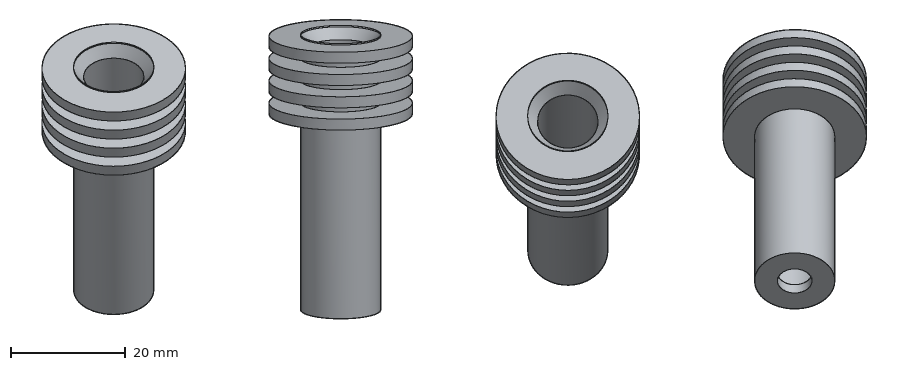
import cadquery as cq
import math

length = 49.25
tube_diameter = 14.0

fin_diameter = 25.0
fin_count = 4
fin_thickness = 1.95
fin_gap = 2.0
fin_pitch = fin_thickness + fin_gap
top_lip = 0.25

mouth_diameter = tube_diameter
bore_diameter = 10.5
through_diameter = 6.0
mouth_depth = 2.15
floor_thickness = 2.0
floor_slope = 8.0


def fin(index):
    """One disc fin, counted downward from the top."""
    bottom = length - top_lip - fin_thickness - index * fin_pitch
    return cq.Workplane("XY", origin=(0, 0, bottom)).circle(fin_diameter / 2).extrude(fin_thickness)


def stepped_bore():
    """Revolved half profile of the whole inner cavity."""
    floor_width = (bore_diameter - through_diameter) / 2
    floor_rise = floor_width * math.tan(math.radians(floor_slope))
    profile = [
        (0, 0),
        (through_diameter / 2, 0),
        (through_diameter / 2, floor_thickness),
        (bore_diameter / 2, floor_thickness + floor_rise),
        (bore_diameter / 2, length - mouth_depth),
        (mouth_diameter / 2, length),
        (0, length),
    ]
    return cq.Workplane("XZ").polyline(profile).close().revolve(360, (0, 0), (0, 1))


body = cq.Workplane("XY").circle(tube_diameter / 2).extrude(length)
for index in range(fin_count):
    body = body.union(fin(index))

result = body.cut(stepped_bore())